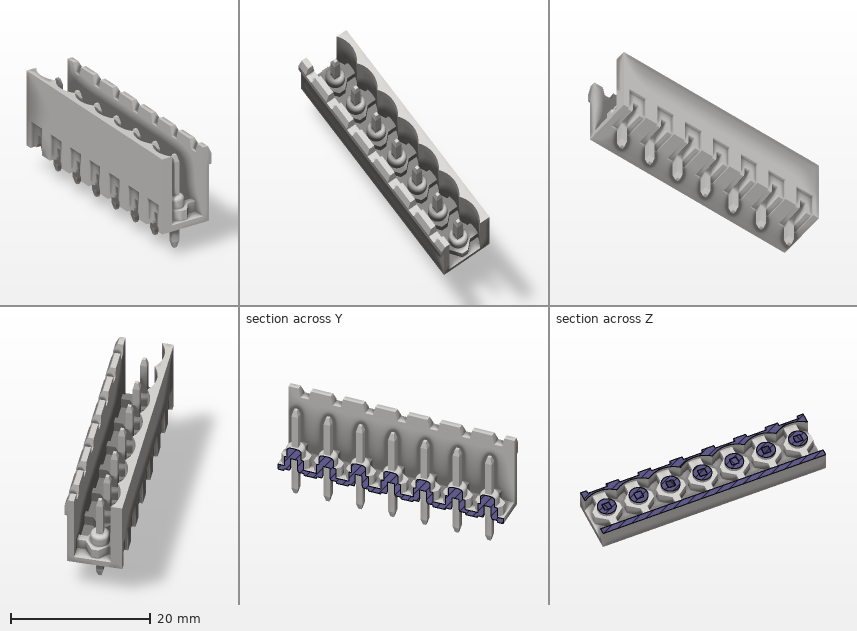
import cadquery as cq

LENGTH = 35.0
PIN_COUNT = 7
PITCH = LENGTH / PIN_COUNT
PIN_Y = 3.78

HEIGHT = 11.97
FLOOR_THICKNESS = 0.98
FRONT_WALL_THICKNESS = 1.7
SCALLOP_DEPTH = 0.88
REAR_WALL_INNER_Y = 7.07
REAR_WALL_OUTER_Y = 8.1

LATCH_OUTER_Y = 8.5
LATCH_BOTTOM_Z = 9.0
LATCH_BEVEL_Z = 10.7
LATCH_TOP_Y = 7.9

NOTCH_DEPTH = 1.5
NOTCH_TOP_WIDTH = 1.9
NOTCH_BOTTOM_WIDTH = 1.2

PEDESTAL_TOP_Z = 2.62
PEDESTAL_WIDTH = 4.27
PEDESTAL_REAR_STEM_WIDTH = 1.05
PEDESTAL_FRONT_STEM_WIDTH = 1.9
PEDESTAL_FRONT_STEM_Y = 2.35
PEDESTAL_SIDE_FRONT_Y = 3.57
PEDESTAL_SIDE_REAR_Y = 4.55
PEDESTAL_REAR_STEM_Y = 5.78

BOSS_DIAMETER = 2.8
BOSS_TOP_Z = 4.38
BOSS_ROUNDING = 0.55

POCKET_WIDTH = 3.0
POCKET_HEIGHT = 4.3
POCKET_DEPTH = 0.5
RELIEF_HEIGHT = 0.3
SLOT_TOP_Z = 2.4
SLOT_FLARE_WIDTH = 0.15
SLOT_FLARE_HEIGHT = 0.5

PIN_WIDTH = 1.0
PIN_TIP_WIDTH = 0.5
PIN_TOP_Z = 10.75
PIN_BOTTOM_Z = -4.02
PIN_TAPER_LENGTH = 1.0

PIN_REAR_Y = PIN_Y + PIN_WIDTH / 2
PIN_XS = [(i - (PIN_COUNT - 1) / 2) * PITCH for i in range(PIN_COUNT)]


def block(width, y_start, y_end, z_start, z_end):
    """Box centred on X = 0 that spans the given Y and Z ranges."""
    size = (width, y_end - y_start, z_end - z_start)
    return cq.Workplane("XY").box(*size, centered=(True, False, False)).translate((0, y_start, z_start))


def extrude_along_y(outline, y_start, y_end):
    """Prism with an outline of (X, Z) points that spans the given Y range."""
    prism = cq.Workplane("XZ").polyline(outline).close().extrude(y_start - y_end)
    return prism.translate((0, y_start, 0))


def make_channel():
    """U-shaped channel with the latch rail on its rear wall."""
    profile = [
        (0, 0),
        (REAR_WALL_OUTER_Y, 0),
        (REAR_WALL_OUTER_Y, LATCH_BOTTOM_Z),
        (LATCH_OUTER_Y, LATCH_BOTTOM_Z),
        (LATCH_OUTER_Y, LATCH_BEVEL_Z),
        (LATCH_TOP_Y, HEIGHT),
        (REAR_WALL_INNER_Y, HEIGHT),
        (REAR_WALL_INNER_Y, FLOOR_THICKNESS),
        (FRONT_WALL_THICKNESS, FLOOR_THICKNESS),
        (FRONT_WALL_THICKNESS, HEIGHT),
        (0, HEIGHT),
    ]
    return cq.Workplane("YZ").polyline(profile).close().extrude(LENGTH / 2, both=True)


def make_scallop():
    """Circular hollow in the inside of the front wall, one pitch wide."""
    return (
        cq.Workplane("XY", origin=(0, 0, FLOOR_THICKNESS))
        .moveTo(-PITCH / 2, FRONT_WALL_THICKNESS)
        .threePointArc((0, FRONT_WALL_THICKNESS - SCALLOP_DEPTH), (PITCH / 2, FRONT_WALL_THICKNESS))
        .close()
        .extrude(HEIGHT - FLOOR_THICKNESS)
    )


def make_notch():
    """Trapezoidal notch through the rear wall and the latch rail."""
    bottom_z = HEIGHT - NOTCH_DEPTH
    outline = [
        (-NOTCH_TOP_WIDTH / 2, HEIGHT),
        (-NOTCH_BOTTOM_WIDTH / 2, bottom_z),
        (NOTCH_BOTTOM_WIDTH / 2, bottom_z),
        (NOTCH_TOP_WIDTH / 2, HEIGHT),
    ]
    return extrude_along_y(outline, REAR_WALL_INNER_Y, LATCH_OUTER_Y)


def make_pedestal():
    """Raised pedestal with stems that join the front and rear walls, topped by a round boss."""
    right_side = [
        (PEDESTAL_FRONT_STEM_WIDTH / 2, FRONT_WALL_THICKNESS - SCALLOP_DEPTH),
        (PEDESTAL_FRONT_STEM_WIDTH / 2, PEDESTAL_FRONT_STEM_Y),
        (PEDESTAL_WIDTH / 2, PEDESTAL_SIDE_FRONT_Y),
        (PEDESTAL_WIDTH / 2, PEDESTAL_SIDE_REAR_Y),
        (PEDESTAL_REAR_STEM_WIDTH / 2, PEDESTAL_REAR_STEM_Y),
        (PEDESTAL_REAR_STEM_WIDTH / 2, REAR_WALL_INNER_Y),
    ]
    left_side = [(-x, y) for x, y in reversed(right_side)]
    base = (
        cq.Workplane("XY", origin=(0, 0, FLOOR_THICKNESS))
        .polyline(right_side + left_side)
        .close()
        .extrude(PEDESTAL_TOP_Z - FLOOR_THICKNESS)
    )
    boss = (
        cq.Workplane("XY", origin=(0, PIN_Y, PEDESTAL_TOP_Z))
        .circle(BOSS_DIAMETER / 2)
        .extrude(BOSS_TOP_Z - PEDESTAL_TOP_Z)
        .faces(">Z")
        .edges()
        .fillet(BOSS_ROUNDING)
    )
    return base.union(boss)


def make_pin_slot():
    """Slot from the pocket back to the pin, flared where it meets the underside relief."""
    half_width = PIN_WIDTH / 2
    flare_top_z = RELIEF_HEIGHT + SLOT_FLARE_HEIGHT
    right_side = [
        (half_width + SLOT_FLARE_WIDTH, RELIEF_HEIGHT),
        (half_width, flare_top_z),
        (half_width, SLOT_TOP_Z),
    ]
    left_side = [(-x, z) for x, z in reversed(right_side)]
    return extrude_along_y(right_side + left_side, 0, PIN_REAR_Y)


def make_terminal_cut():
    """Front pocket, underside relief, pin slot and square pin hole of one terminal."""
    pocket = block(POCKET_WIDTH, 0, POCKET_DEPTH, 0, POCKET_HEIGHT)
    relief = block(POCKET_WIDTH, 0, PIN_REAR_Y, 0, RELIEF_HEIGHT)
    pin_hole = block(PIN_WIDTH, PIN_Y - PIN_WIDTH / 2, PIN_REAR_Y, 0, BOSS_TOP_Z)
    return pocket.union(relief).union(make_pin_slot()).union(pin_hole)


def make_housing():
    """Channel with its scallops, notches, pedestals and terminal cuts at every pin."""
    housing = make_channel()
    scallop = make_scallop()
    notch = make_notch()
    pedestal = make_pedestal()
    terminal_cut = make_terminal_cut()
    for x in PIN_XS:
        place = (x, 0, 0)
        housing = housing.cut(scallop.translate(place)).cut(notch.translate(place))
        housing = housing.union(pedestal.translate(place)).cut(terminal_cut.translate(place))
    return housing


def make_pin(x):
    """Square pin with a truncated pyramid at each end."""
    lower_z = PIN_BOTTOM_Z + PIN_TAPER_LENGTH
    upper_z = PIN_TOP_Z - PIN_TAPER_LENGTH
    return (
        cq.Workplane("XY", origin=(x, PIN_Y, lower_z))
        .rect(PIN_WIDTH, PIN_WIDTH)
        .extrude(upper_z - lower_z)
        .faces(">Z")
        .workplane()
        .rect(PIN_WIDTH, PIN_WIDTH)
        .workplane(offset=PIN_TAPER_LENGTH)
        .rect(PIN_TIP_WIDTH, PIN_TIP_WIDTH)
        .loft(combine=True)
        .faces("<Z")
        .workplane()
        .rect(PIN_WIDTH, PIN_WIDTH)
        .workplane(offset=PIN_TAPER_LENGTH)
        .rect(PIN_TIP_WIDTH, PIN_TIP_WIDTH)
        .loft(combine=True)
    )


housing = make_housing()
pins = [make_pin(x) for x in PIN_XS]

result = cq.Compound.makeCompound([housing.val(), *[pin.val() for pin in pins]])